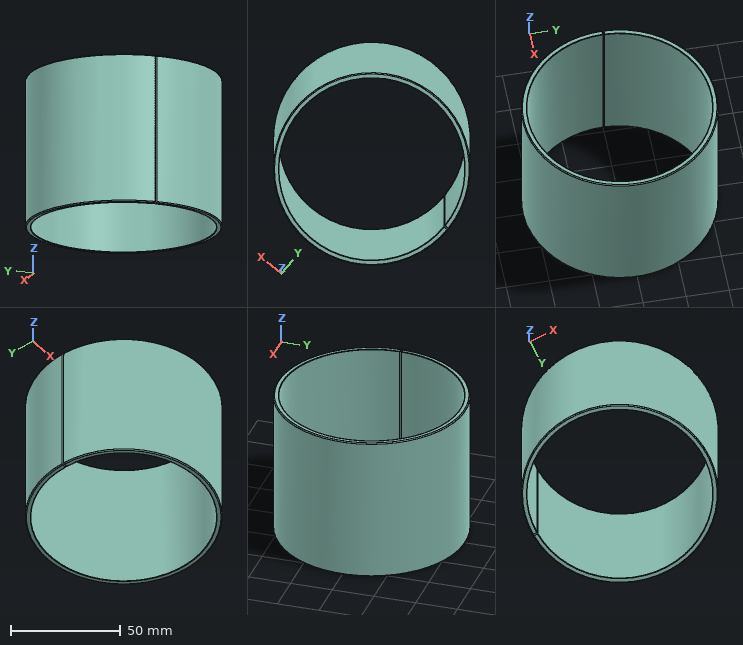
import cadquery as cq

outer_diameter = 90.0
wall = 2.5
length = 70.0

outer_chamfer = 0.5
bore_chamfer = 0.2

slit_angle = 1.0

outer_radius = outer_diameter / 2
bore_radius = outer_radius - wall
outer_rim_radius = outer_radius - outer_chamfer
bore_rim_radius = bore_radius + bore_chamfer


def wall_section():
    """Cross-section of the wall at the slit face on -X, all four corners chamfered."""
    return (
        cq.Workplane("XZ")
        .moveTo(-bore_rim_radius, 0)
        .lineTo(-outer_rim_radius, 0)
        .lineTo(-outer_radius, outer_chamfer)
        .lineTo(-outer_radius, length - outer_chamfer)
        .lineTo(-outer_rim_radius, length)
        .lineTo(-bore_rim_radius, length)
        .lineTo(-bore_radius, length - bore_chamfer)
        .lineTo(-bore_radius, bore_chamfer)
        .close()
    )


axis_start = (0, 0, 0)
axis_end = (0, 1, 0)
result = wall_section().revolve(360 - slit_angle, axis_start, axis_end)